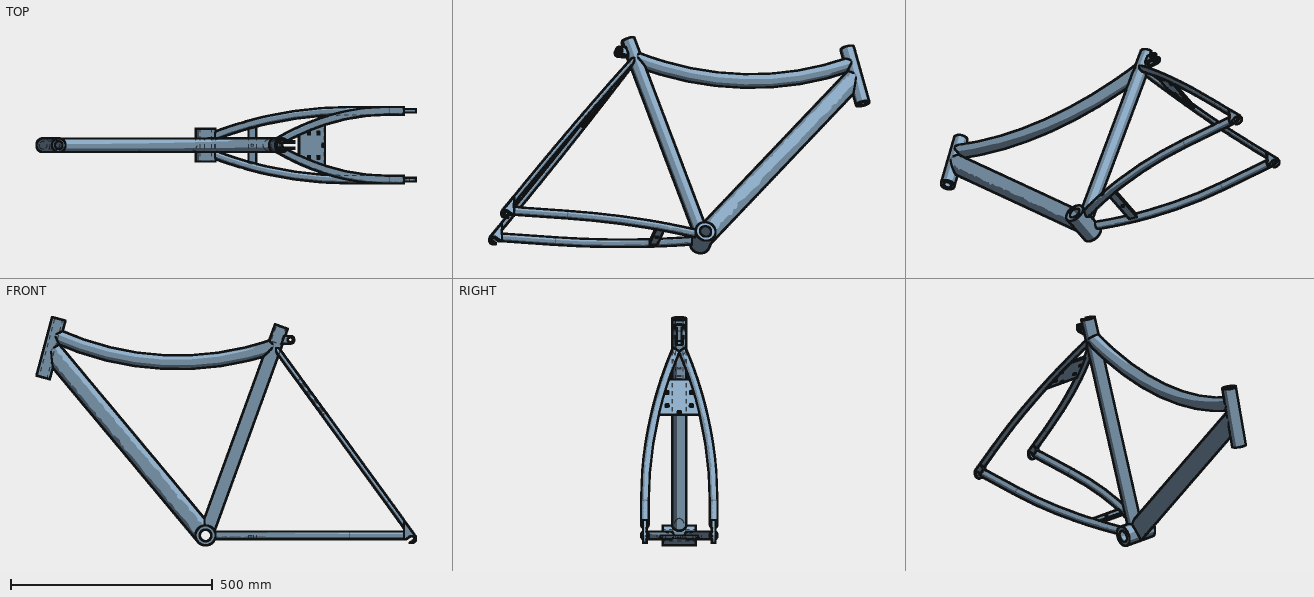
import cadquery as cq
import math


overall_length = 941.0
overall_width = 190.0

shell_diameter = 50.0
shell_bore = 28.0
shell_width = 82.0

tube_diameter = 35.0
joint_step = 0.3
joined_tube_width = tube_diameter - joint_step
down_tube_depth = 50.0
seat_lean = 20.0
seat_tube_length = 551.0
top_tube_sag = 54.0

head_lean = 15.0
head_length = 151.0
head_bore = 20.0
head_center = (-383.0, 464.0)
down_joint_drop = 4.0
top_joint_rise = 34.0
seat_joint_drop = 51.0

socket_bore = 25.0
socket_depth = 42.0
clamp_gap = 10.0
clamp_ear_thickness = 5.0
clamp_ear_height = 20.0
clamp_bolt_hole = 12.0
clamp_bolt = (210.0, 485.0)

stay_diameter = 20.0
seat_stay_thickness = 12.0
stay_end_x = 491.0
stay_end_y = (overall_width - stay_diameter) / 2
chain_stay_bend_radius = 932.0
chain_stay_bend_end_x = 357.0
seat_stay_lean = 36.0
seat_stay_end_z = 28.0
seat_stay_top_z = 466.0
seat_stay_bend_radius = 1431.0
seat_stay_straight = 69.0

chain_bridge_x = 116.0
chain_bridge_length = 20.0
chain_bridge_thickness = 8.0
chain_bridge_hole = 6.0

plate_top_x = 232.0
plate_bottom_x = 295.0
plate_thickness = 4.0
plate_hole = 8.0
plate_hole_xs = (255.0, 279.0)
plate_hole_y = 30.0
plate_edge_hole_x = 291.0

dropout_thickness = 9.0
dropout_radius = 11.0
axle_slot_width = 12.0
axle_slot_length = 47.0
axle_drop = 8.0
dropout_hook_length = 9.0
dropout_foot_length = 7.0


def lean_direction(angle):
    """Unit X and Z of a line leaning back from vertical by the angle in degrees."""
    return math.sin(math.radians(angle)), math.cos(math.radians(angle))


def along(point, direction, distance):
    """Point in the XZ plane at a distance from another point."""
    return point[0] + direction[0] * distance, point[1] + direction[1] * distance


def axis_plane(start, direction):
    """Plane across a line of the XZ plane; its local X is the Y axis of the frame."""
    return cq.Plane(
        origin=(start[0], 0, start[1]),
        xDir=(0, 1, 0),
        normal=(direction[0], 0, direction[1]),
    )


def side_plate(outline, thickness, center_y):
    """Extrude an XZ outline evenly to both sides of a Y position."""
    return outline.extrude(thickness / 2, both=True).translate((0, center_y, 0))


head_axis = lean_direction(head_lean)
seat_axis = lean_direction(seat_lean)
head_bottom = along(head_center, head_axis, -head_length / 2)
seat_top = along((0, 0), seat_axis, seat_tube_length)
frame_front_x = head_bottom[0] - tube_diameter / 2 * head_axis[1]
axle = (frame_front_x + overall_length - dropout_radius, -axle_drop)


def head_cylinder(diameter):
    return cq.Workplane(axis_plane(head_bottom, head_axis)).circle(diameter / 2).extrude(head_length)


def seat_tube():
    return cq.Workplane(axis_plane((0, 0), seat_axis)).circle(tube_diameter / 2).extrude(seat_tube_length)


def down_tube():
    joint_x, joint_z = along(head_center, head_axis, -down_joint_drop)
    length = math.hypot(joint_x, joint_z)
    plane = axis_plane((0, 0), (joint_x / length, joint_z / length))
    return cq.Workplane(plane).ellipse(joined_tube_width / 2, down_tube_depth / 2).extrude(length)


def top_tube():
    """Tube bent downward in one arc between the head tube and the seat tube."""
    front = along(head_center, head_axis, top_joint_rise)
    rear = along(seat_top, seat_axis, -seat_joint_drop)
    chord_x = rear[0] - front[0]
    chord_z = rear[1] - front[1]
    chord = math.hypot(chord_x, chord_z)
    chord_middle = ((front[0] + rear[0]) / 2, (front[1] + rear[1]) / 2)
    lowest = along(chord_middle, (chord_z / chord, -chord_x / chord), top_tube_sag)
    path = cq.Workplane("XZ").moveTo(*front).threePointArc(lowest, rear)
    start_angle = 2 * math.atan(2 * top_tube_sag / chord)
    chord_angle = math.atan2(chord_z, chord_x)
    tangent = (math.cos(chord_angle - start_angle), math.sin(chord_angle - start_angle))
    return cq.Workplane(axis_plane(front, tangent)).circle(joined_tube_width / 2).sweep(path)


def bend_inset(distance, radius):
    """Sideways shift of an arc at a distance before its end tangent."""
    return radius - math.sqrt(radius**2 - distance**2)


def bent_stay(plane, bend, straight, radius, thickness):
    """Stay that runs along the local X of the plane: an arc, then a straight end.

    The local origin is the end of the arc.
    """
    path = (
        cq.Workplane(plane)
        .moveTo(-bend, -bend_inset(bend, radius))
        .threePointArc((-bend / 2, -bend_inset(bend / 2, radius)), (0, 0))
        .lineTo(straight, 0)
    )
    start_angle = math.asin(bend / radius)
    start = plane.toWorldCoords((-bend, -bend_inset(bend, radius), 0))
    tangent = plane.xDir * math.cos(start_angle) + plane.yDir * math.sin(start_angle)
    profile_plane = cq.Plane(origin=start, xDir=plane.zDir, normal=tangent)
    return cq.Workplane(profile_plane).ellipse(thickness / 2, stay_diameter / 2).sweep(path)


def chain_stay():
    plane = cq.Plane(origin=(chain_stay_bend_end_x, stay_end_y, 0), xDir=(1, 0, 0), normal=(0, 0, 1))
    straight = stay_end_x - chain_stay_bend_end_x
    return bent_stay(plane, chain_stay_bend_end_x, straight, chain_stay_bend_radius, stay_diameter)


stay_rise = lean_direction(-seat_stay_lean)
stay_down = (-stay_rise[0], 0, -stay_rise[1])
seat_stay_end = (stay_end_x, seat_stay_end_z)
seat_stay_bend_end = along(seat_stay_end, stay_rise, seat_stay_straight)
seat_stay_bend = (seat_stay_top_z - seat_stay_bend_end[1]) / stay_rise[1]
stay_plane_normal = (stay_rise[1], 0, -stay_rise[0])


def seat_stay():
    plane = cq.Plane(
        origin=(seat_stay_bend_end[0], stay_end_y, seat_stay_bend_end[1]),
        xDir=stay_down,
        normal=stay_plane_normal,
    )
    overrun = seat_stay_thickness
    stay = bent_stay(
        plane, seat_stay_bend, seat_stay_straight + overrun, seat_stay_bend_radius, seat_stay_thickness
    )
    block_size = 3 * stay_diameter
    beyond_end = cq.Workplane("XY").box(block_size, block_size, block_size, centered=(False, True, True))
    return stay.cut(beyond_end.translate((stay_end_x, stay_end_y, seat_stay_end_z)))


def chain_bridge():
    """Drilled bar between the chain stays, its top level with their centre lines."""
    half_width = stay_end_y - bend_inset(chain_stay_bend_end_x - chain_bridge_x, chain_stay_bend_radius)
    return (
        cq.Workplane("XY")
        .box(chain_bridge_length, 2 * half_width, chain_bridge_thickness)
        .translate((chain_bridge_x, 0, -chain_bridge_thickness / 2))
        .faces(">Z")
        .workplane(origin=(chain_bridge_x, 0, 0))
        .hole(chain_bridge_hole)
    )


def seat_bridge_plate():
    """Perforated plate between the seat stays; local X runs down along the stays."""
    plane = cq.Plane(
        origin=(seat_stay_bend_end[0], 0, seat_stay_bend_end[1]),
        xDir=stay_down,
        normal=stay_plane_normal,
    )

    def down_stay(x):
        return (x - seat_stay_bend_end[0]) / stay_down[0]

    def half_width(x):
        return stay_end_y - bend_inset(-down_stay(x), seat_stay_bend_radius)

    corners = [
        (down_stay(x), side * half_width(x))
        for x, side in (
            (plate_top_x, -1),
            (plate_bottom_x, -1),
            (plate_bottom_x, 1),
            (plate_top_x, 1),
        )
    ]
    holes = [(down_stay(x), y) for x in plate_hole_xs for y in (-plate_hole_y, plate_hole_y)]
    holes.append((down_stay(plate_edge_hole_x), 0))
    plate = cq.Workplane(plane).polyline(corners).close().extrude(plate_thickness / 2, both=True)
    drills = (
        cq.Workplane(plane).pushPoints(holes).circle(plate_hole / 2).extrude(plate_thickness, both=True)
    )
    return plate.cut(drills)


def dropout():
    """Hooked plate at the stay ends with an axle slot square to the seat stay."""
    hook_bottom = axle[1] - dropout_radius
    foot_z = -stay_diameter / 2
    slope_end = along(axle, (stay_rise[1], -stay_rise[0]), dropout_radius)
    slope_top = along(slope_end, stay_rise, (slope_end[0] - stay_end_x) / -stay_rise[0])
    outline = (
        cq.Workplane("XZ")
        .moveTo(*slope_top)
        .lineTo(*slope_end)
        .threePointArc((axle[0] + dropout_radius, axle[1]), (axle[0], hook_bottom))
        .lineTo(axle[0] - dropout_hook_length, hook_bottom)
        .lineTo(stay_end_x + dropout_foot_length, foot_z)
        .lineTo(stay_end_x, foot_z)
        .close()
    )
    slot_middle = along(axle, (-stay_rise[1], stay_rise[0]), axle_slot_length / 2)
    slot = (
        cq.Workplane("XZ")
        .center(*slot_middle)
        .slot2D(axle_slot_length + axle_slot_width, axle_slot_width, seat_stay_lean)
    )
    plate = side_plate(outline, dropout_thickness, stay_end_y)
    return plate.cut(side_plate(slot, 2 * dropout_thickness, stay_end_y))


def clamp_ear():
    """Round-ended ear behind the seat tube, one side of the clamp gap."""
    bolt_x, bolt_z = clamp_bolt
    radius = clamp_ear_height / 2
    root_x = along(seat_top, seat_axis, -socket_depth)[0] + socket_bore / 2
    outline = (
        cq.Workplane("XZ")
        .moveTo(root_x, bolt_z - radius)
        .lineTo(bolt_x, bolt_z - radius)
        .threePointArc((bolt_x + radius, bolt_z), (bolt_x, bolt_z + radius))
        .lineTo(root_x, bolt_z + radius)
        .close()
        .moveTo(bolt_x, bolt_z)
        .circle(clamp_bolt_hole / 2)
    )
    return side_plate(outline, clamp_ear_thickness, (clamp_gap + clamp_ear_thickness) / 2)


def shell_cylinder(diameter):
    return cq.Workplane("XZ").circle(diameter / 2).extrude(shell_width / 2, both=True)


def seat_socket():
    """Blind seat post bore with the clamp slot through its rear wall."""
    plane = axis_plane(along(seat_top, seat_axis, -socket_depth), seat_axis)
    bore = cq.Workplane(plane).circle(socket_bore / 2).extrude(socket_depth)
    slot = (
        cq.Workplane(plane)
        .center(0, -tube_diameter / 2)
        .rect(clamp_gap, tube_diameter)
        .extrude(socket_depth)
    )
    return bore.union(slot)


frame = shell_cylinder(shell_diameter)
for tube in (head_cylinder(tube_diameter), seat_tube(), down_tube(), top_tube()):
    frame = frame.union(tube)
for rear_part in (chain_stay(), seat_stay(), dropout(), clamp_ear()):
    frame = frame.union(rear_part).union(rear_part.mirror("XZ"))
frame = frame.union(chain_bridge()).union(seat_bridge_plate())

for opening in (shell_cylinder(shell_bore), head_cylinder(head_bore), seat_socket()):
    frame = frame.cut(opening)

result = frame